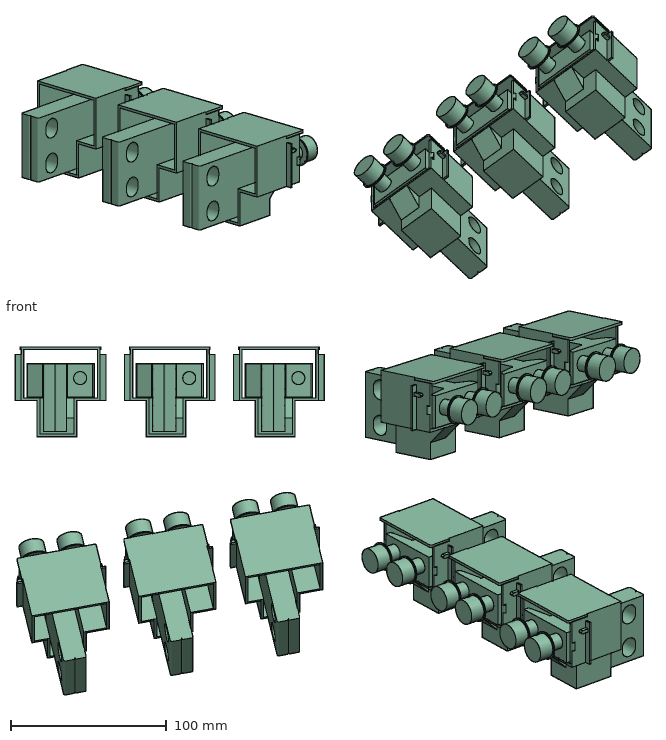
import cadquery as cq
import math

UNIT_COUNT = 3
UNIT_PITCH = 70.0

WALL = 1.8
HOUSING_HEIGHT = 57.8
HOUSING_FRONT = 31.2

BOX_WIDTH = 50.8
BOX_BACK = 71.7
BOX_BOTTOM = 23.2

CHANNEL_WIDTH = 25.6
CHANNEL_X = -2.4
CHANNEL_BACK = 59.7

HOOD_WIDTH = 15.3

LID_OVERHANG = 0.5
LID_FRONT = 59.2
LID_BACK = 75.0
LID_CORNER = 1.0
LID_FRONT_ROUND = 0.4

FLANGE_SPAN = 58.4
FLANGE_FRONT = 59.2
FLANGE_THICKNESS = 1.2
FLANGE_TOP = 53.0
PIN_REACH = 2.4
PIN_BACK = 66.0
PIN_HEIGHT = 2.4
PIN_Z = 47.0
PIN_BEVEL = 1.0
BUMP_REACH = 1.0
BUMP_LENGTH = 2.4
BUMP_HEIGHT = 5.5
BUMP_Z = 38.0

BAR_WIDTH = 14.9
BAR_X = -3.5
BAR_BOTTOM = 3.5
BAR_TOP = 47.0
BAR_ROUND = 1.2
LEAF_COUNT = 2
BAR_BACK = 55.5

HOLE_WIDTH = 11.1
HOLE_LENGTH = 13.1
HOLE_Y = 12.7
HOLE_Z = (13.5, 37.1)

BLOCK_WIDTH = 43.5
BLOCK_BOTTOM = 25.5
BLOCK_BACK = 73.0
PLATE_THICKNESS = 4.0
LEFT_FLARE_RISE = 4.8
RIGHT_FLARE_RISE = 3.2
LEFT_SHOULDER_STEP = 2.0
LEFT_BLOCK_EDGE = 0.5
RIGHT_BLOCK_EDGE = 1.2
BEND = 0.5

BOLT_SPACING = 25.0
BOLT_Z = 37.7
SHANK_DIAMETER = 10.3
TIP_DIAMETER = 8.3
TIP_Y = 66.0
WASHER_DIAMETER = 18.5
WASHER_THICKNESS = 0.8
HEAD_DIAMETER = 16.5
HEAD_FRONT = 83.8
HEAD_BACK = 93.9


def block(x_range, y_range, z_range):
    """Rectangular block between the given limits."""
    (x0, x1), (y0, y1), (z0, z1) = x_range, y_range, z_range
    return cq.Workplane("XY").box(x1 - x0, y1 - y0, z1 - z0, centered=False).translate((x0, y0, z0))


def centred(width, middle=0.0):
    """Limits of a width centred on a middle value."""
    return middle - width / 2, middle + width / 2


def rod(diameter, x, y_front, y_back):
    """Cylinder along Y at bolt height."""
    disc = cq.Workplane("XZ", origin=(x, y_front, BOLT_Z)).circle(diameter / 2)
    return disc.extrude(y_front - y_back)


def hood_prism(x_range, front, low, top):
    """Triangular prism whose underside rises at 45 degrees towards the back."""
    profile = [(front, low), (front + top - low, top), (front, top)]
    start, end = x_range
    return cq.Workplane("YZ", origin=(start, 0, 0)).polyline(profile).close().extrude(end - start)


def make_lid():
    """Lid plate overhanging the box at the sides and the back."""
    half = BOX_WIDTH / 2 + LID_OVERHANG
    lid = block((-half, half), (LID_FRONT, LID_BACK), (HOUSING_HEIGHT - WALL, HOUSING_HEIGHT))
    return lid.edges("|Z and >Y").fillet(LID_CORNER).edges("|Z and <Y").fillet(LID_FRONT_ROUND)


def make_left_fittings():
    """Flange, locating pin and snap bump on the -X side of the box."""
    side = -BOX_WIDTH / 2
    inside = side + WALL / 2
    flange_back = FLANGE_FRONT + FLANGE_THICKNESS
    flange = block((-FLANGE_SPAN / 2, inside), (FLANGE_FRONT, flange_back), (BOX_BOTTOM, FLANGE_TOP))
    pin = block((side - PIN_REACH, inside), (FLANGE_FRONT, PIN_BACK), centred(PIN_HEIGHT, PIN_Z))
    pin = pin.faces(">Y").edges("|X").chamfer(PIN_BEVEL)
    bump = (
        cq.Workplane("XY", origin=(0, 0, BUMP_Z - BUMP_HEIGHT / 2))
        .moveTo(side, BOX_BACK)
        .threePointArc((side - BUMP_REACH, BOX_BACK - BUMP_LENGTH / 2), (side, BOX_BACK - BUMP_LENGTH))
        .lineTo(inside, BOX_BACK - BUMP_LENGTH)
        .lineTo(inside, BOX_BACK)
        .close()
        .extrude(BUMP_HEIGHT)
    )
    return flange.union(pin).union(bump)


def make_housing():
    """Thin-walled T-shaped sleeve with a hood, a lid and side fittings."""
    channel_x = centred(CHANNEL_WIDTH, CHANNEL_X)
    hood_x = (channel_x[1] - HOOD_WIDTH, channel_x[1])
    hood_low = BOX_BOTTOM - (BOX_BACK - CHANNEL_BACK)
    floor = BOX_BOTTOM + WALL

    box = block(centred(BOX_WIDTH), (HOUSING_FRONT, BOX_BACK), (BOX_BOTTOM, HOUSING_HEIGHT))
    channel = block(channel_x, (HOUSING_FRONT, CHANNEL_BACK), (0, floor))
    hood = hood_prism(hood_x, CHANNEL_BACK, hood_low, BOX_BOTTOM)
    fittings = make_left_fittings()
    shell = box.union(channel).union(hood).union(make_lid())
    shell = shell.union(fittings).union(fittings.mirror("YZ"))

    box_hollow = block(
        centred(BOX_WIDTH - 2 * WALL), (HOUSING_FRONT, BOX_BACK), (floor, HOUSING_HEIGHT - WALL)
    )
    channel_hollow = block(
        (channel_x[0] + WALL, channel_x[1] - WALL), (HOUSING_FRONT, CHANNEL_BACK - WALL), (WALL, floor)
    )
    inner_front = CHANNEL_BACK - WALL
    inner_low = hood_low - WALL + WALL * math.sqrt(2)
    hood_hollow = hood_prism((hood_x[0] + WALL, hood_x[1] - WALL), inner_front, inner_low, floor)
    return shell.cut(box_hollow).cut(channel_hollow).cut(hood_hollow)


def make_busbar():
    """Two leaves side by side with rounded front edges and oblong holes."""
    leaf_width = BAR_WIDTH / LEAF_COUNT
    left = BAR_X - BAR_WIDTH / 2
    bar = cq.Workplane("XY")
    for index in range(LEAF_COUNT):
        start = left + index * leaf_width
        leaf = block((start, start + leaf_width), (0, BAR_BACK), (BAR_BOTTOM, BAR_TOP))
        bar = bar.union(leaf.edges("|Z and <Y").fillet(BAR_ROUND))
    holes = (
        cq.Workplane("YZ", origin=(left, 0, 0))
        .pushPoints([(HOLE_Y, z) for z in HOLE_Z])
        .slot2D(HOLE_LENGTH, HOLE_WIDTH, 90)
        .extrude(BAR_WIDTH)
    )
    return bar.cut(holes)


def make_terminal_block():
    """Flared block joining the busbar to the plate that carries the bolts."""
    left, right = centred(BAR_WIDTH, BAR_X)
    half = BLOCK_WIDTH / 2
    plate_front = BLOCK_BACK - PLATE_THICKNESS
    left_shoulder = plate_front - LEFT_SHOULDER_STEP
    left_root = left_shoulder - LEFT_FLARE_RISE
    right_root = plate_front - RIGHT_FLARE_RISE
    outline = [
        (left, left_root - BEND),
        (left, BAR_BACK),
        (right, BAR_BACK),
        (right, right_root - BEND),
        (right + BEND, right_root),
        (half - RIGHT_BLOCK_EDGE, plate_front),
        (half, plate_front + RIGHT_BLOCK_EDGE),
        (half, BLOCK_BACK),
        (-half, BLOCK_BACK),
        (-half, left_shoulder + LEFT_BLOCK_EDGE),
        (LEFT_BLOCK_EDGE - half, left_shoulder),
        (left - BEND, left_root),
    ]
    base = cq.Workplane("XY", origin=(0, 0, BLOCK_BOTTOM)).polyline(outline).close()
    return base.extrude(BAR_TOP - BLOCK_BOTTOM)


def make_bolt(x):
    """Terminal bolt with a reduced tip, a shank, a washer and a plain head."""
    tip = rod(TIP_DIAMETER, x, TIP_Y, BLOCK_BACK)
    shank = rod(SHANK_DIAMETER, x, BLOCK_BACK - PLATE_THICKNESS / 2, HEAD_FRONT)
    washer = rod(WASHER_DIAMETER, x, HEAD_FRONT - WASHER_THICKNESS, HEAD_FRONT)
    head = rod(HEAD_DIAMETER, x, HEAD_FRONT, HEAD_BACK)
    return tip.union(shank).union(washer).union(head)


def make_conductor():
    """Busbar, terminal block and bolts as one solid."""
    conductor = make_busbar().union(make_terminal_block())
    for x in centred(BOLT_SPACING):
        conductor = conductor.union(make_bolt(x))
    return conductor


housing = make_housing()
conductor = make_conductor()
bodies = []
for index in range(UNIT_COUNT):
    offset = ((index - (UNIT_COUNT - 1) / 2) * UNIT_PITCH, 0, 0)
    bodies.append(housing.translate(offset).val())
    bodies.append(conductor.translate(offset).val())

result = cq.Compound.makeCompound(bodies)